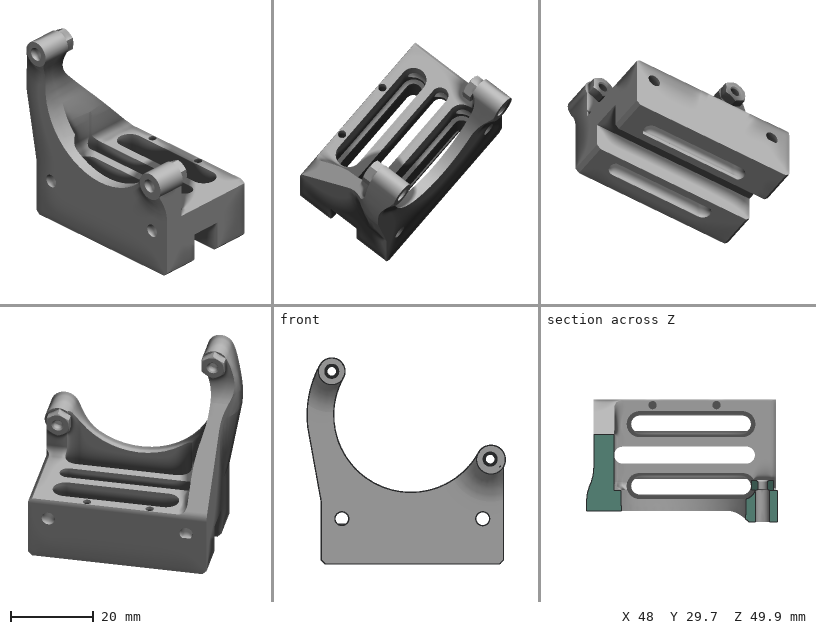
import cadquery as cq
import math

LENGTH = 44.15
DEPTH = 26.95
FLOOR_Z = 16.05
PLATE_THICK = 5.0
WALL_THICK = 5.15
FLOOR_FILLET = 2.0
EDGE_CHAMFER = 1.0
GROOVE_WIDTH = 8.0
GROOVE_HEIGHT = 8.0
MID_X = LENGTH / 2
MID_Y = DEPTH / 2

SLOPE_FOOT_Z = 15.95
SLOPE_TOP_Z = 39.6
SLOPE_FOOT_RADIUS = 3.0
BLEND_RADIUS = 9.65
WALL_ARCH_RADIUS = 24.95

ARCH_X = 21.75
ARCH_Z = 36.05
ARCH_RADIUS = 18.65
ARM_WIDTH = 6.5
ARM_OUTER_RADIUS = ARCH_RADIUS + ARM_WIDTH
ARM_ANGLE = 29.0
OVERHANG_FOOT_Z = 15.2
LEAN_TOP_Z = 33.05
SIDE_BLEND_FOOT_Y = 5.9
SIDE_BLEND_LEAN = 0.05
OVERHANG_GAP = 0.05

LEFT_BOSS_RADIUS = ARM_WIDTH / 2
RIGHT_BOSS_RADIUS = 3.5
BOSS_PROUD = 2.75
BOSS_HOLE_DIA = 3.4
SCREW_RADIUS = 21.9
NUT_WIDTH = 5.5
NUT_HEIGHT = 2.4
NUT_BORE_DIA = 2.35
NUT_COUNTERSINK_DIA = 3.0

SLOT_WIDTH = 4.1
SIDE_SLOT_LENGTH = 28.95
SIDE_SLOT_X = 23.65
SIDE_SLOT_PITCH = 7.5
MIDDLE_SLOT_LENGTH = 34.05
RECESS_WIDTH = 6.3
RECESS_LENGTH = 31.15
RECESS_FLOOR_Z = 8.0
LIP_WIDTH = 0.4
LIP_HEIGHT = 1.0
FRONT_HOLE_DIA = 3.3
FRONT_HOLE_SPACING = 34.1
FRONT_HOLE_Z = 11.0
HOLE_FLAT_Z = 9.75
PIN_HOLE_DIA = 2.0
PIN_HOLE_SPACING = 15.45
PIN_HOLE_Y = 25.55
PIN_HOLE_DEPTH = 5.0


def arch_point(radius, degrees):
    """X and Z of a point around the arch centre."""
    angle = math.radians(degrees)
    return ARCH_X + radius * math.cos(angle), ARCH_Z + radius * math.sin(angle)


LEFT_DIRECTION = 180 - ARM_ANGLE
RIGHT_DIRECTION = -ARM_ANGLE
LEFT_BOSS = arch_point(ARCH_RADIUS + LEFT_BOSS_RADIUS, LEFT_DIRECTION)
RIGHT_BOSS = arch_point(ARCH_RADIUS + RIGHT_BOSS_RADIUS, RIGHT_DIRECTION)
SCREW_POINTS = [arch_point(SCREW_RADIUS, LEFT_DIRECTION), arch_point(SCREW_RADIUS, RIGHT_DIRECTION)]

LEAN_DIRECTION = 180 + math.degrees(math.asin((ARCH_Z - LEAN_TOP_Z) / ARM_OUTER_RADIUS))
LEAN_TOP = arch_point(ARM_OUTER_RADIUS, LEAN_DIRECTION)
OVERHANG_TOP_Z = ARCH_Z + math.sqrt(ARM_OUTER_RADIUS**2 - ARCH_X**2)


def along_y(y):
    """XZ workplane at the given Y; positive extrusions run toward -Y."""
    return cq.Workplane(cq.Plane(origin=(0, y, 0), xDir=(1, 0, 0), normal=(0, -1, 0)))


def cylinder_y(point, diameter, y_start, y_end):
    """Cylinder along Y around the given X and Z."""
    return along_y(y_start).center(*point).circle(diameter / 2).extrude(y_start - y_end)


def front_outline(y_start, y_end):
    """Block, arch and arms as one outline, extruded along Y."""
    return (
        along_y(y_start)
        .moveTo(0, 0)
        .lineTo(LENGTH, 0)
        .lineTo(LENGTH, RIGHT_BOSS[1])
        .lineTo(*arch_point(ARCH_RADIUS, RIGHT_DIRECTION))
        .threePointArc(arch_point(ARCH_RADIUS, -90), arch_point(ARCH_RADIUS, LEFT_DIRECTION))
        .lineTo(*arch_point(ARM_OUTER_RADIUS, LEFT_DIRECTION))
        .threePointArc(arch_point(ARM_OUTER_RADIUS, (LEFT_DIRECTION + LEAN_DIRECTION) / 2), LEAN_TOP)
        .lineTo(0, OVERHANG_FOOT_Z)
        .close()
        .extrude(y_start - y_end)
    )


def side_outline():
    """Side profile with the sloped back, extruded over the whole X range."""
    x_start = -ARM_WIDTH
    top = ARCH_Z + ARM_OUTER_RADIUS
    profile = (
        cq.Workplane("YZ", origin=(x_start, 0, 0))
        .lineTo(DEPTH, 0)
        .lineTo(DEPTH, SLOPE_FOOT_Z)
        .lineTo(PLATE_THICK, SLOPE_TOP_Z)
        .lineTo(PLATE_THICK, top)
        .lineTo(0, top)
        .close()
        .extrude(LENGTH - 2 * x_start)
    )
    foot_edge = cq.NearestToPointSelector((MID_X, DEPTH, SLOPE_FOOT_Z))
    top_edge = cq.NearestToPointSelector((MID_X, PLATE_THICK, SLOPE_TOP_Z))
    profile = profile.edges(foot_edge).fillet(SLOPE_FOOT_RADIUS)
    return profile.edges(top_edge).fillet(BLEND_RADIUS)


def overhang(z):
    """How far the left arm stands out past the wall at height z."""
    if z < LEAN_TOP_Z:
        return -LEAN_TOP[0] * (z - OVERHANG_FOOT_Z) / (LEAN_TOP_Z - OVERHANG_FOOT_Z)
    return math.sqrt(ARM_OUTER_RADIUS**2 - (z - ARCH_Z) ** 2) - ARCH_X


def side_blend_section(z):
    """Section of the space behind the left arm at height z: an S of two equal arcs and a box round it."""
    out = overhang(z)
    middle_y = SIDE_BLEND_FOOT_Y + SIDE_BLEND_LEAN * (z - OVERHANG_FOOT_Z)
    half_run = math.sqrt(BLEND_RADIUS * out - out**2 / 4)
    half_angle = math.acos(1 - out / 2 / BLEND_RADIUS) / 2
    sag_x = BLEND_RADIUS * (1 - math.cos(half_angle))
    sag_y = BLEND_RADIUS * math.sin(half_angle)
    front_y = middle_y - half_run
    back_y = middle_y + half_run
    section = (
        cq.Workplane("XY", origin=(0, 0, z))
        .moveTo(-ARM_WIDTH, front_y)
        .lineTo(-out, front_y)
        .threePointArc((sag_x - out, front_y + sag_y), (-out / 2, middle_y))
        .threePointArc((-sag_x, back_y - sag_y), (0, back_y))
        .lineTo(0, DEPTH)
        .lineTo(-ARM_WIDTH, DEPTH)
        .close()
    )
    return section.val()


def side_blend_cut(z_start, z_end):
    """Space behind the left arm between two heights, lofted through closely spaced sections."""
    steps = 8
    heights = [z_start + (z_end - z_start) * step / steps for step in range(steps + 1)]
    return cq.Solid.makeLoft([side_blend_section(z) for z in heights])


def below_overhang():
    """Space under the first section of the side blend."""
    corner = (-ARM_WIDTH, SIDE_BLEND_FOOT_Y, 0)
    box = cq.Workplane("XY").box(ARM_WIDTH, DEPTH, OVERHANG_FOOT_Z + OVERHANG_GAP, centered=False)
    return box.translate(corner)


def floor_pocket():
    """Space above the slotted floor, behind the plate and beside the wall."""
    top = ARCH_Z + ARM_OUTER_RADIUS
    pocket = cq.Workplane("XY").box(LENGTH, DEPTH, top, centered=False)
    pocket = pocket.translate((WALL_THICK, PLATE_THICK, FLOOR_Z))
    wall_edge = cq.NearestToPointSelector((WALL_THICK, MID_Y + PLATE_THICK, FLOOR_Z))
    plate_edge = cq.NearestToPointSelector((WALL_THICK + MID_X, PLATE_THICK, FLOOR_Z))
    pocket = pocket.edges(wall_edge).fillet(FLOOR_FILLET)
    return pocket.edges(plate_edge).fillet(FLOOR_FILLET)


def wall_arch_cut():
    """Space of a large arc that runs smoothly from the inner face of the wall into the arch."""
    centre_x = WALL_THICK - WALL_ARCH_RADIUS
    centre_distance = ARCH_RADIUS + WALL_ARCH_RADIUS
    centre_z = ARCH_Z - math.sqrt(centre_distance**2 - (ARCH_X - centre_x) ** 2)
    end_angle = math.asin((ARCH_Z - centre_z) / centre_distance)

    def arc_point(angle):
        return centre_x + WALL_ARCH_RADIUS * math.cos(angle), centre_z + WALL_ARCH_RADIUS * math.sin(angle)

    return (
        along_y(PLATE_THICK)
        .moveTo(*arc_point(0))
        .threePointArc(arc_point(end_angle / 2), arc_point(end_angle))
        .lineTo(ARCH_X, centre_z)
        .close()
        .extrude(PLATE_THICK - DEPTH)
    )


def boss(point, radius):
    """Boss through the plate with a hollow flare that runs out on the front of the plate."""
    foot = math.sqrt(BLEND_RADIUS**2 - (BLEND_RADIUS - BOSS_PROUD) ** 2)
    half_angle = math.acos(1 - BOSS_PROUD / BLEND_RADIUS) / 2
    middle = (
        radius + foot - BLEND_RADIUS * math.sin(half_angle),
        -BLEND_RADIUS * (1 - math.cos(half_angle)),
    )
    flare = (
        cq.Workplane("XY")
        .moveTo(0, 0)
        .lineTo(0, -BOSS_PROUD)
        .lineTo(radius, -BOSS_PROUD)
        .threePointArc(middle, (radius + foot, 0))
        .close()
        .revolve(360, (0, 0, 0), (0, 1, 0))
        .translate((point[0], 0, point[1]))
    )
    flare = flare.intersect(front_outline(-BOSS_PROUD, 0))
    return cylinder_y(point, 2 * radius, -BOSS_PROUD, PLATE_THICK).union(flare)


def slot(x, y, length, width, z_bottom):
    """Slot shaped tool along X that reaches from z_bottom to above the plate behind the arch."""
    return cq.Workplane("XY", origin=(x, y, z_bottom)).slot2D(length, width).extrude(ARCH_Z)


def side_slot(side):
    """Slot and its wider recess; a low lip stays along the foot of the edge next to the groove."""
    slot_y = MID_Y + side * SIDE_SLOT_PITCH
    lip_y = slot_y - side * SLOT_WIDTH / 2
    lip = cq.Workplane("XY", origin=(SIDE_SLOT_X, lip_y, 0))
    lip = lip.box(SIDE_SLOT_LENGTH, 2 * LIP_WIDTH, 2 * LIP_HEIGHT)
    opening = slot(SIDE_SLOT_X, slot_y, SIDE_SLOT_LENGTH, SLOT_WIDTH, 0).cut(lip)
    return opening.union(slot(SIDE_SLOT_X, slot_y, RECESS_LENGTH, RECESS_WIDTH, RECESS_FLOOR_Z))


def front_hole(side):
    """Hole along Y through the block; the left one has a flat floor behind the plate."""
    hole_x = MID_X + side * FRONT_HOLE_SPACING / 2
    hole = cylinder_y((hole_x, FRONT_HOLE_Z), FRONT_HOLE_DIA, 0, DEPTH)
    if side > 0:
        return hole
    below_flat = cq.Workplane("XY").box(FRONT_HOLE_DIA, DEPTH, HOLE_FLAT_Z, centered=(True, False, False))
    return hole.cut(below_flat.translate((hole_x, PLATE_THICK, 0)))


def pin_hole(side):
    """Blind hole down into the floor near its back edge."""
    pin_x = MID_X + side * PIN_HOLE_SPACING / 2
    start = cq.Workplane("XY", origin=(pin_x, PIN_HOLE_Y, FLOOR_Z - PIN_HOLE_DEPTH))
    return start.circle(PIN_HOLE_DIA / 2).extrude(PIN_HOLE_DEPTH)


def end_chamfer(x, z):
    """Square bar turned by 45 degrees that bevels one long block edge."""
    bar_width = EDGE_CHAMFER * math.sqrt(2)
    bar = cq.Workplane("XZ").rect(bar_width, bar_width).extrude(-DEPTH)
    return bar.rotate((0, 0, 0), (0, 1, 0), 45).translate((x, 0, z))


def make_bracket():
    body = front_outline(0, DEPTH).intersect(side_outline())
    body = body.cut(cq.Workplane(side_blend_cut(OVERHANG_FOOT_Z + OVERHANG_GAP, LEAN_TOP_Z)))
    body = body.cut(cq.Workplane(side_blend_cut(OVERHANG_TOP_Z - OVERHANG_GAP, LEAN_TOP_Z)))
    body = body.cut(below_overhang())
    body = body.cut(floor_pocket())
    body = body.cut(wall_arch_cut())
    body = body.cut(end_chamfer(0, 0)).cut(end_chamfer(LENGTH, 0))
    body = body.cut(end_chamfer(LENGTH, FLOOR_Z).translate((0, PLATE_THICK, 0)))
    body = body.union(boss(LEFT_BOSS, LEFT_BOSS_RADIUS)).union(boss(RIGHT_BOSS, RIGHT_BOSS_RADIUS))
    groove = cq.Workplane("XY").box(LENGTH, GROOVE_WIDTH, GROOVE_HEIGHT, centered=(False, True, False))
    body = body.cut(groove.translate((0, MID_Y, 0)))
    body = body.cut(slot(MID_X, MID_Y, MIDDLE_SLOT_LENGTH, SLOT_WIDTH, 0))
    for side in (-1, 1):
        body = body.cut(side_slot(side)).cut(front_hole(side)).cut(pin_hole(side))
    for point in SCREW_POINTS:
        body = body.cut(cylinder_y(point, BOSS_HOLE_DIA, -BOSS_PROUD, PLATE_THICK))
    return body


def make_nut(point):
    """Hexagon nut on the back of a boss, with corners up and down."""
    corner_dia = NUT_WIDTH / math.cos(math.pi / 6)
    bevel_width = (corner_dia - NUT_WIDTH) / 2
    bevel_height = bevel_width * math.tan(math.pi / 6)
    hexagon = cq.Workplane("XY").polygon(6, corner_dia).extrude(NUT_HEIGHT).rotate((0, 0, 0), (0, 0, 1), 90)
    rounding = cq.Workplane("XY").circle(corner_dia / 2).extrude(NUT_HEIGHT)
    rounding = rounding.faces(">Z").chamfer(bevel_height, bevel_width)
    nut = hexagon.intersect(rounding)
    nut = nut.faces(">Z").workplane(origin=(0, 0, 0)).hole(NUT_BORE_DIA)
    nut = nut.edges(cq.selectors.RadiusNthSelector(0)).chamfer((NUT_COUNTERSINK_DIA - NUT_BORE_DIA) / 2)
    nut = nut.rotate((0, 0, 0), (1, 0, 0), -90)
    return nut.translate((point[0], PLATE_THICK, point[1]))


bracket = make_bracket()
nuts = [make_nut(point) for point in SCREW_POINTS]
result = cq.Compound.makeCompound([bracket.solids().val(), *[nut.val() for nut in nuts]])